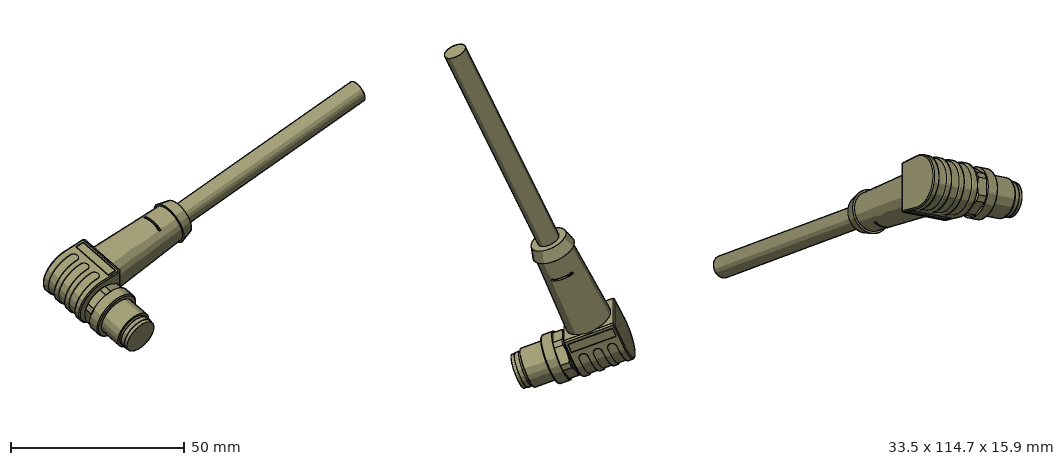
import cadquery as cq
import math


OVERALL_LENGTH_X = 33.5
OVERALL_LENGTH_Y = 114.7

HOUSING_WIDTH = 15.9
HOUSING_RADIUS = HOUSING_WIDTH / 2
HOUSING_BACK = 8.1
HOUSING_TAPER = math.radians(4.5)
RIM_CHAMFER = 0.3
BACK_CHAMFER_LENGTH = 0.7

GROOVE_COUNT = 3
GROOVE_PITCH = 4.5
GROOVE_WIDTH = 2.8
GROOVE_TOP = 2.4
GROOVE_DEPTH = 0.4
LIP_RADIUS = 0.3
LABEL_LENGTH = 14.0
LABEL_FRONT = 4.1
LABEL_BACK = 6.9
LABEL_DEPTH = 0.2

TOLERANCE = 0.001

CABLE_DIAMETER = 6.7
CABLE_END = OVERALL_LENGTH_Y - HOUSING_RADIUS
SLEEVE_BASE_DIAMETER = 14.0
SLEEVE_TOP_DIAMETER = 11.7
COLLAR_DIAMETER = 13.1
COLLAR_END_DIAMETER = 11.0
COLLAR_START = 33.8
COLLAR_END = 37.6
NOTCH_POSITION = 27.4
NOTCH_WIDTH = 0.6
NOTCH_FLOOR = 5.2

NECK_DIAMETER = 9.3
NUT_START = 8.7
NUT_DIAMETER = 14.1
NUT_ACROSS_FLATS = 13.1
NUT_CHAMFER_LENGTH = 0.3
RING_START = 11.8
RING_DIAMETER = 15.0
RING_CHAMFER = 0.3
BARREL_START = 15.4
BARREL_DIAMETER = 12.0
TIP_START = 22.4
TIP_DIAMETER = 10.8
TIP_NECK_DIAMETER = 10.5
TIP_BAND_START = 23.0
TIP_BAND_END = 24.4
TIP_NOSE_DIAMETER = 10.4
PLUG_END = OVERALL_LENGTH_X - HOUSING_WIDTH / 2


def slope_height(y, radius):
    """Height of the sloping side, tangent to the round end of this radius."""
    return (radius - y * math.sin(HOUSING_TAPER)) / math.cos(HOUSING_TAPER)


def housing_shape(radius):
    """D-shaped block whose flat sides run tangent off the round end and taper to the back."""
    tangent_y = radius * math.sin(HOUSING_TAPER)
    tangent_z = radius * math.cos(HOUSING_TAPER)
    back_z = slope_height(HOUSING_BACK, radius)
    return (
        cq.Workplane("YZ")
        .moveTo(HOUSING_BACK, back_z)
        .lineTo(tangent_y, tangent_z)
        .threePointArc((-radius, 0), (tangent_y, -tangent_z))
        .lineTo(HOUSING_BACK, -back_z)
        .close()
        .extrude(HOUSING_WIDTH / 2, both=True)
    )


def cylinder_x(diameter, start, end):
    """Cylinder on the plug axis."""
    return cq.Workplane("YZ", origin=(start, 0, 0)).circle(diameter / 2).extrude(end - start)


def groove(x):
    """Band wrapping the round end of the housing, with an arched end on both flat sides."""
    arch_y = GROOVE_TOP - GROOVE_WIDTH / 2
    front_y = -2 * HOUSING_RADIUS
    outline = (
        cq.Workplane("XY")
        .moveTo(x - GROOVE_WIDTH / 2, front_y)
        .lineTo(x - GROOVE_WIDTH / 2, arch_y)
        .threePointArc((x, GROOVE_TOP), (x + GROOVE_WIDTH / 2, arch_y))
        .lineTo(x + GROOVE_WIDTH / 2, front_y)
        .close()
        .extrude(2 * HOUSING_RADIUS, both=True)
    )
    core = housing_shape(HOUSING_RADIUS - GROOVE_DEPTH)
    return outline.cut(core)


def label_recess():
    """Shallow rectangular recess that follows the upper and lower sloping sides."""
    window = cq.Workplane("XY").box(LABEL_LENGTH, LABEL_BACK - LABEL_FRONT, 4 * HOUSING_RADIUS)
    window = window.translate((0, (LABEL_FRONT + LABEL_BACK) / 2, 0))
    return window.cut(housing_shape(HOUSING_RADIUS - LABEL_DEPTH))


def is_groove_lip(edge):
    """True for an edge where a groove wall meets the outer surface of the housing."""
    middle = edge.positionAt(0.5)
    tangent_y = HOUSING_RADIUS * math.sin(HOUSING_TAPER)
    if middle.y > tangent_y:
        surface_z = slope_height(middle.y, HOUSING_RADIUS)
    else:
        surface_z = math.sqrt(max(HOUSING_RADIUS**2 - middle.y**2, 0))
    on_surface = abs(abs(middle.z) - surface_z) < TOLERANCE
    on_tangent_line = abs(middle.y - tangent_y) < TOLERANCE
    grooved_length = (GROOVE_COUNT - 1) * GROOVE_PITCH + GROOVE_WIDTH
    inside_rims = abs(middle.x) < grooved_length / 2 + TOLERANCE
    beside_label = middle.y < GROOVE_TOP + TOLERANCE
    return on_surface and inside_rims and beside_label and not on_tangent_line


def make_housing():
    """Housing with chamfered rims, a label recess and round-lipped grip grooves."""
    body = housing_shape(HOUSING_RADIUS)
    body = body.faces(">Y").edges("|X").chamfer(BACK_CHAMFER_LENGTH, RIM_CHAMFER)
    body = body.faces(">Y").edges("|Z").chamfer(BACK_CHAMFER_LENGTH, RIM_CHAMFER)
    rims = body.faces("<X or >X").edges("not(|Z)")
    body = rims.chamfer(RIM_CHAMFER)
    first_x = -(GROOVE_COUNT - 1) / 2 * GROOVE_PITCH
    for i in range(GROOVE_COUNT):
        body = body.cut(groove(first_x + i * GROOVE_PITCH))
    body = body.edges().filter(is_groove_lip).fillet(LIP_RADIUS)
    return body.cut(label_recess())


def make_cable_and_sleeve():
    """Revolved cable and tapered sleeve with its end collar, notched above and below."""
    profile = [
        (0, 0),
        (SLEEVE_BASE_DIAMETER / 2, 0),
        (SLEEVE_BASE_DIAMETER / 2, HOUSING_BACK),
        (SLEEVE_TOP_DIAMETER / 2, COLLAR_START),
        (COLLAR_DIAMETER / 2, COLLAR_START),
        (COLLAR_END_DIAMETER / 2, COLLAR_END),
        (CABLE_DIAMETER / 2, COLLAR_END),
        (CABLE_DIAMETER / 2, CABLE_END),
        (0, CABLE_END),
    ]
    sleeve = cq.Workplane("XY").polyline(profile).close().revolve(360, (0, 0, 0), (0, 1, 0))
    notch_height = SLEEVE_BASE_DIAMETER / 2
    for side in (1, -1):
        notch = cq.Workplane("XY").box(SLEEVE_BASE_DIAMETER, NOTCH_WIDTH, notch_height)
        notch_z = side * (NOTCH_FLOOR + notch_height / 2)
        sleeve = sleeve.cut(notch.translate((0, NOTCH_POSITION, notch_z)))
    return sleeve


def make_nut():
    """Chamfered disc with six flats; two flats face along Y."""
    chamfer_height = (NUT_DIAMETER - NUT_ACROSS_FLATS) / 2
    disc = cylinder_x(NUT_DIAMETER, NUT_START, RING_START)
    disc = disc.faces("<X").chamfer(NUT_CHAMFER_LENGTH, chamfer_height)
    hexagon_diameter = NUT_ACROSS_FLATS / math.cos(math.pi / 6)
    hexagon = (
        cq.Workplane("YZ", origin=(NUT_START, 0, 0))
        .transformed(rotate=(0, 0, 30))
        .polygon(6, hexagon_diameter)
        .extrude(RING_START - NUT_START)
    )
    return disc.intersect(hexagon)


def make_plug():
    """Neck, nut, coupling ring and barrel, with a banded tip."""
    ring = cylinder_x(RING_DIAMETER, RING_START, BARREL_START).faces(">X").chamfer(RING_CHAMFER)
    plug = cylinder_x(NECK_DIAMETER, 0, NUT_START).union(make_nut())
    plug = plug.union(ring)
    plug = plug.union(cylinder_x(BARREL_DIAMETER, BARREL_START, TIP_START))
    plug = plug.union(cylinder_x(TIP_NECK_DIAMETER, TIP_START, TIP_BAND_START))
    plug = plug.union(cylinder_x(TIP_DIAMETER, TIP_BAND_START, TIP_BAND_END))
    return plug.union(cylinder_x(TIP_NOSE_DIAMETER, TIP_BAND_END, PLUG_END))


result = make_housing().union(make_cable_and_sleeve()).union(make_plug())